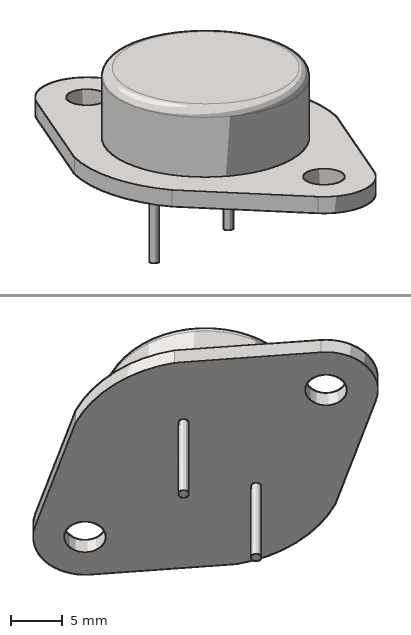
import cadquery as cq
import math

flange_thickness = 1.75
flange_radius = 13.6
flange_arc_half_width = 6.2
ear_radius = 5.0
ear_offset = 15.1
mount_hole_diameter = 4.0

cap_diameter = 20.0
cap_height = 7.25
cap_edge_radius = 1.0

pin_diameter = 1.0
pin_length = 10.0
pin_spacing = 10.9
pin_x = -1.8


def flange_outline():
    """Flange profile: two central arcs, two ear arcs and four lines tangent to the ears."""
    arc_x = flange_arc_half_width
    arc_y = math.sqrt(flange_radius**2 - arc_x**2)

    run_x = ear_offset - arc_x
    distance = math.hypot(run_x, arc_y)
    line_slope = math.atan2(arc_y, run_x) - math.asin(ear_radius / distance)
    ear_x = ear_offset + ear_radius * math.sin(line_slope)
    ear_y = ear_radius * math.cos(line_slope)
    ear_tip = ear_offset + ear_radius

    return (
        cq.Workplane("XY")
        .moveTo(-arc_x, arc_y)
        .threePointArc((0, flange_radius), (arc_x, arc_y))
        .lineTo(ear_x, ear_y)
        .threePointArc((ear_tip, 0), (ear_x, -ear_y))
        .lineTo(arc_x, -arc_y)
        .threePointArc((0, -flange_radius), (-arc_x, -arc_y))
        .lineTo(-ear_x, -ear_y)
        .threePointArc((-ear_tip, 0), (-ear_x, ear_y))
        .close()
    )


def make_flange():
    """Flange plate with its underside at Z = 0 and a mounting hole in each ear."""
    plate = flange_outline().extrude(flange_thickness)
    return (
        plate.faces(">Z")
        .workplane(origin=(0, 0, flange_thickness))
        .pushPoints([(-ear_offset, 0), (ear_offset, 0)])
        .hole(mount_hole_diameter)
    )


def make_cap():
    """Round cap standing on the flange, with a rounded top edge."""
    return (
        cq.Workplane("XY", origin=(0, 0, flange_thickness))
        .circle(cap_diameter / 2)
        .extrude(cap_height)
        .faces(">Z")
        .edges()
        .fillet(cap_edge_radius)
    )


def make_pins():
    """Two straight pins hanging below the flange."""
    return (
        cq.Workplane("XY")
        .pushPoints([(pin_x, -pin_spacing / 2), (pin_x, pin_spacing / 2)])
        .circle(pin_diameter / 2)
        .extrude(-pin_length)
    )


result = make_flange().union(make_cap()).union(make_pins())